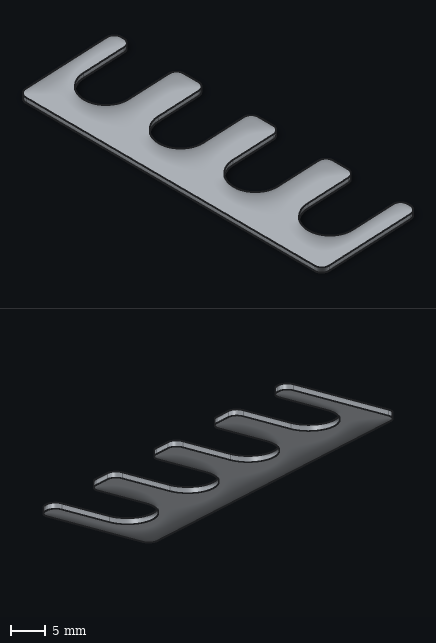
import cadquery as cq

length = 61.0
width = 20.0
thickness = 1.0
corner_radius = 1.5

slot_count = 4
slot_pitch = 15.0
slot_width = 9.0
slot_depth = 14.5
slot_radius = slot_width / 2

back_edge = width / 2
slot_bottom = back_edge - slot_depth
slot_centre_y = slot_bottom + slot_radius


def make_slot(centre_x):
    """Cutter for one slot, with a half-round inner end."""
    left = centre_x - slot_radius
    right = centre_x + slot_radius
    return (
        cq.Workplane("XY")
        .moveTo(left, back_edge)
        .lineTo(left, slot_centre_y)
        .threePointArc((centre_x, slot_bottom), (right, slot_centre_y))
        .lineTo(right, back_edge)
        .close()
        .extrude(thickness)
    )


plate = cq.Workplane("XY").box(length, width, thickness, centered=(True, True, False))
for index in range(slot_count):
    offset_from_middle = index - (slot_count - 1) / 2
    plate = plate.cut(make_slot(offset_from_middle * slot_pitch))

tip_edges = plate.faces(">Y").edges("|Z")
front_edges = plate.faces("<Y").edges("|Z")
result = plate.newObject(tip_edges.vals() + front_edges.vals()).fillet(corner_radius)